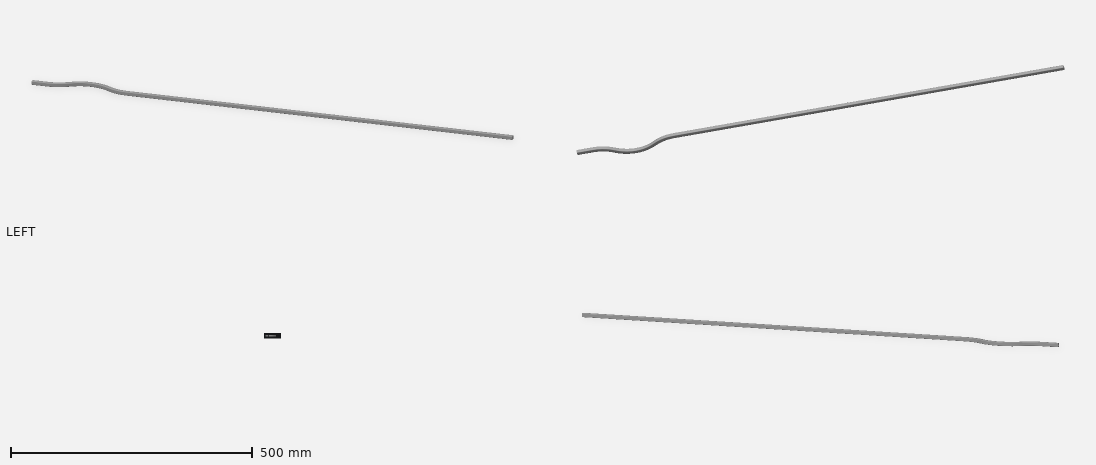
import cadquery as cq
import math

bar_length = 1040.0
bar_width = 8.0
edge_radius = 1.0

hump_center_x = 120.0
hump_rise = 24.76
bend_radius = 80.0

end_hole_diameter = 3.24
end_hole_depth = 12.0

bend_angle = math.acos(1 - hump_rise / (2 * bend_radius))
hump_half_span = 2 * bend_radius * math.sin(bend_angle)


def arc_point(angle, side, from_crest):
    """Centreline point at an angle along a bend, on side -1 (-X) or +1 (+X) of the crest."""
    run = bend_radius * math.sin(angle)
    lift = bend_radius * (1 - math.cos(angle))
    if from_crest:
        return hump_center_x + side * run, hump_rise - lift
    return hump_center_x + side * (hump_half_span - run), lift


def centerline():
    """Path of the bar in the XY plane: straight, up over the hump, straight to the far end."""
    crest = (hump_center_x, hump_rise)
    return (
        cq.Workplane("XY")
        .lineTo(*arc_point(0, -1, False))
        .threePointArc(arc_point(bend_angle / 2, -1, False), arc_point(bend_angle, -1, False))
        .threePointArc(crest, arc_point(bend_angle, 1, True))
        .threePointArc(arc_point(bend_angle / 2, 1, False), arc_point(0, 1, False))
        .lineTo(bar_length, 0)
    )


def bar():
    """Rounded square section swept along the centreline."""
    section = cq.Sketch().rect(bar_width, bar_width).vertices().fillet(edge_radius)
    return cq.Workplane("YZ").placeSketch(section).sweep(centerline())


def end_hole():
    """Cylinder to be removed from the -X end, on the axis of the bar."""
    return cq.Workplane("YZ").circle(end_hole_diameter / 2).extrude(end_hole_depth)


result = bar().cut(end_hole())